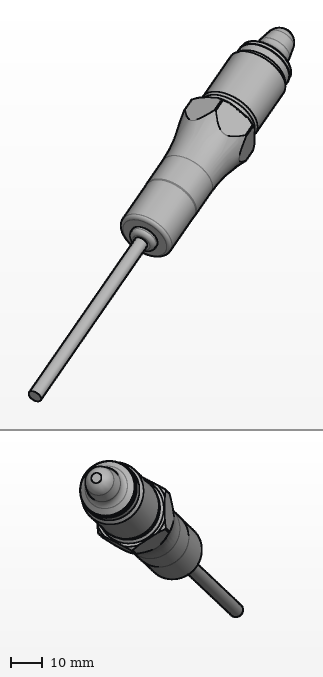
import cadquery as cq
import math

total_length = 165.8
tip_y = total_length / 2

tip_flat_diameter = 3.3
dome_diameter = 9.3
dome_end_at = 3.5
nose_root_diameter = 11.1
nose_root_at = 8.0

flare_end_diameter = 13.8
flare_end_at = 11.5
shoulder_diameter = 17.5
shoulder_at = 13.1

rear_ring_diameter = 17.9
rear_body_diameter = 18.4
rear_step_at = 14.6
barrel_taper_at = 17.5
barrel_at = 19.0
barrel_diameter = 20.2
barrel_end_at = 37.5
barrel_chamfer_length = 1.0

neck_diameter = 19.4
neck_end_at = 40.1
hex_at = 41.1
hex_seat_diameter = 21.2

hex_across_flats = 22.0
hex_corner_diameter = 25.2
hex_chamfer_diameter = 23.2
hex_chamfer_length = 1.0
hex_taper_at = 46.7

front_diameter = 18.2
front_body_at = 65.5
cap_step_at = 76.1
cap_step_length = 0.3
cap_diameter = 18.0
cap_end_at = 93.3
cap_fillet = 1.25

gland_diameter = 9.3
gland_length = 2.3
gland_end_at = cap_end_at + gland_length
gland_fillet = 1.57
cable_diameter = 4.5


def at(diameter, station):
    """Profile point on a diameter at a distance from the tip."""
    return (diameter / 2, tip_y - station)


def direction(start, end):
    """Angle of travel, in radians, from one profile point to another."""
    return math.atan2(end[1] - start[1], end[0] - start[0])


def arc_to(profile, start, end, end_angle):
    """Add an arc between two points that arrives travelling at end_angle."""
    half_turn = end_angle - direction(start, end)
    bulge = math.tan(half_turn / 2) / 2
    middle = (
        (start[0] + end[0]) / 2 + bulge * (end[1] - start[1]),
        (start[1] + end[1]) / 2 - bulge * (end[0] - start[0]),
    )
    return profile.threePointArc(middle, end)


def rounded_end(profile, diameter, end_at, fillet):
    """Run a cylinder up to its end face and round the outer edge."""
    fillet_start = at(diameter, end_at - fillet)
    fillet_end = at(diameter - 2 * fillet, end_at)
    return arc_to(profile.lineTo(*fillet_start), fillet_start, fillet_end, -math.pi)


def add_nose(profile):
    """Domed tip, slender cone, hollow flare and shoulder."""
    tip_edge = at(tip_flat_diameter, 0)
    dome_end = at(dome_diameter, dome_end_at)
    nose_root = at(nose_root_diameter, nose_root_at)
    flare_end = at(flare_end_diameter, flare_end_at)
    shoulder = at(shoulder_diameter, shoulder_at)

    profile = profile.moveTo(*at(0, 0)).lineTo(*tip_edge)
    profile = arc_to(profile, tip_edge, dome_end, direction(dome_end, nose_root))
    profile = profile.lineTo(*nose_root)
    profile = arc_to(profile, nose_root, flare_end, direction(flare_end, shoulder))
    return profile.lineTo(*shoulder)


def add_barrel(profile):
    """Rear rings, barrel and the neck up to the hexagon."""
    return (
        profile.lineTo(*at(rear_ring_diameter, shoulder_at))
        .lineTo(*at(rear_ring_diameter, rear_step_at))
        .lineTo(*at(rear_body_diameter, rear_step_at))
        .lineTo(*at(rear_body_diameter, barrel_taper_at))
        .lineTo(*at(barrel_diameter, barrel_at))
        .lineTo(*at(barrel_diameter, barrel_end_at))
        .lineTo(*at(neck_diameter, barrel_end_at + barrel_chamfer_length))
        .lineTo(*at(neck_diameter, neck_end_at))
        .lineTo(*at(hex_seat_diameter, hex_at))
    )


def add_hex_envelope(profile):
    """Envelope of the hexagon corners and the hollow taper down to the front body."""
    taper_start = at(hex_corner_diameter, hex_taper_at)
    taper_end = at(front_diameter, front_body_at)
    profile = (
        profile.lineTo(*at(hex_chamfer_diameter, hex_at))
        .lineTo(*at(hex_corner_diameter, hex_at + hex_chamfer_length))
        .lineTo(*taper_start)
    )
    return arc_to(profile, taper_start, taper_end, -math.pi / 2)


def add_front(profile):
    """Front body, cap, cable gland and cable."""
    profile = profile.lineTo(*at(front_diameter, cap_step_at))
    profile = profile.lineTo(*at(cap_diameter, cap_step_at + cap_step_length))
    profile = rounded_end(profile, cap_diameter, cap_end_at, cap_fillet)
    profile = profile.lineTo(*at(gland_diameter, cap_end_at))
    profile = rounded_end(profile, gland_diameter, gland_end_at, gland_fillet)
    return (
        profile.lineTo(*at(cable_diameter, gland_end_at))
        .lineTo(*at(cable_diameter, total_length))
        .lineTo(*at(0, total_length))
    )


def turned_body():
    """Solid of revolution that carries every round feature."""
    profile = cq.Workplane("XY")
    for add_section in (add_nose, add_barrel, add_hex_envelope, add_front):
        profile = add_section(profile)
    return profile.close().revolve(360, (0, 0, 0), (0, 1, 0))


def hex_bar():
    """Full-length hexagonal bar with flats facing +X and -X and corners on Z."""
    across_corners = hex_across_flats / math.cos(math.pi / 6)
    return (
        cq.Workplane("XZ")
        .transformed(rotate=(0, 0, 90))
        .polygon(6, across_corners)
        .extrude(total_length / 2, both=True)
    )


result = turned_body().intersect(hex_bar())